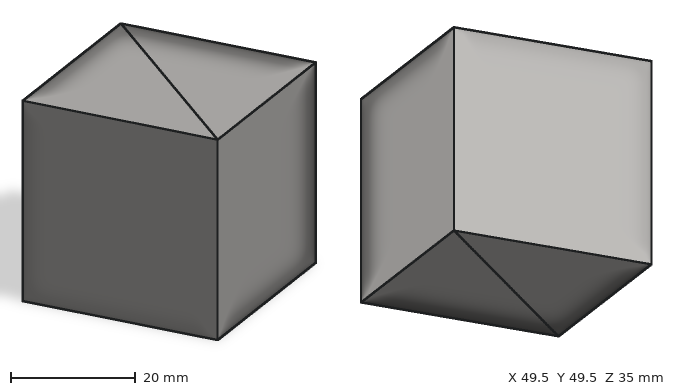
import cadquery as cq
import math

DIAGONAL = 49.5
HALF_DIAGONAL = DIAGONAL / 2
CUBE_EDGE = DIAGONAL / math.sqrt(2)


def right_angle_prism(apex_y):
    """Triangular prism with its long face on the XZ plane and its apex at apex_y."""
    return (
        cq.Workplane("XY")
        .polyline([(-HALF_DIAGONAL, 0), (HALF_DIAGONAL, 0), (0, apex_y)])
        .close()
        .extrude(CUBE_EDGE)
    )


prisms = [right_angle_prism(side * HALF_DIAGONAL) for side in (-1, 1)]

result = cq.Compound.makeCompound([prism.val() for prism in prisms])